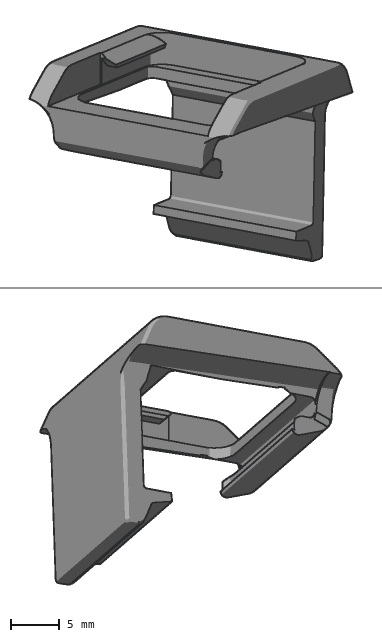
import cadquery as cq
import math


width = 25.05
half_width = width / 2
height = 22.25
depth = 23.79
past_part = 5.0
tolerance = 0.01

top_bend_radius = 2.5
back_corner_y = 21.67
back_bend_y = 23.82
back_bend_z = -5.1
back_bend_radius = 4.0
leg_tilt = math.radians(2.0)
leg_thickness = 2.17
leg_end_chamfer = 0.3
leg_root_z = -7.15
leg_bend_y = 20.95
leg_bend_z = -6.1
leg_top_y = 20.8
frame_bottom_z = -4.65
front_slope = math.radians(39.0)
front_corner_y = 3.83
front_bend_z = -front_corner_y * math.tan(front_slope)
front_bend_radius = 2.75
neck_thickness = 1.93
neck_inner_radius = 0.6

foot_tip_y = 18.0
foot_top_z = -18.1
foot_tip_thickness = 0.93
foot_tip_slant = 0.1
foot_top_radius = 0.35
foot_root_y = 20.28
foot_root_z = -19.6

hook_tip_y = 4.43
hook_top_z = -6.76
hook_corner_z = -7.6
hook_blend_z = -6.95
hook_blend_drop = 0.58
hook_slope = math.radians(20.2)
hook_front_radius = 1.9
hook_tip_top_radius = 1.3
hook_tip_bottom_radius = 0.65

notch_front_y = 5.33
notch_back_y = 6.55
notch_depth = 0.35
notch_flank = 0.3

leg_half_width = 8.8
neck_half_width = 9.3
undercut_radius = 3.25
neck_undercut_radius = half_width - neck_half_width
leg_undercut_z = -7.05
neck_undercut_z = -6.3
edge_radius = 0.5

floor_z = -3.4
recess_half_width = 9.72
recess_back_y = 19.9
recess_corner_radius = 2.2
front_slot_half_width = 9.89
front_slot_back_y = 9.82
window_half_width = 9.5
window_front_y = 3.49
window_back_y = 18.45
window_front_radius = 2.4
window_back_radius = 0.8

clip_tip_x = 8.38
clip_root_x = front_slot_half_width + 0.5
clip_edge_z = -1.2
clip_bottom_z = -1.62
clip_tip_bevel = 0.13
clip_end_z = -0.55


def rounded_outline(plane, corners):
    """Closed outline through (u, v, radius) corners, each rounded by a tangent arc."""
    bends = []
    count = len(corners)
    for i, (u, v, radius) in enumerate(corners):
        corner = cq.Vector(u, v)
        before = (cq.Vector(*corners[i - 1][:2]) - corner).normalized()
        after = (cq.Vector(*corners[(i + 1) % count][:2]) - corner).normalized()
        half_angle = before.getAngle(after) / 2
        tangent = radius / math.tan(half_angle)
        bisector = (before + after).normalized()
        middle = corner + bisector * (radius / math.sin(half_angle) - radius)
        bends.append((radius, corner + before * tangent, middle, corner + after * tangent))
    outline = cq.Workplane(plane).moveTo(*bends[0][3].toTuple()[:2])
    for radius, start, middle, end in bends[1:] + bends[:1]:
        outline = outline.lineTo(*start.toTuple()[:2])
        if radius > 0:
            outline = outline.threePointArc(middle.toTuple()[:2], end.toTuple()[:2])
    return outline.wire()


def leg_outer_y(z):
    """Y of the outer face of the leg at height z."""
    return back_bend_y + (z - back_bend_z) * math.tan(leg_tilt)


def side_profile():
    """Frame, leg with foot, and hook in the YZ plane, with the top and its corners still square."""
    def leg_inner_y(z):
        return leg_outer_y(z) - leg_thickness

    leg_end_z = -height - edge_radius * math.tan(leg_tilt)
    leg_end_inner_z = leg_end_z + leg_thickness * math.tan(leg_tilt)
    hook_end_z = hook_corner_z - hook_tip_y * math.tan(hook_slope)
    return rounded_outline("YZ", [
        (0, 0, 0),
        (leg_outer_y(0), 0, 0),
        (leg_outer_y(leg_end_z), leg_end_z, edge_radius),
        (leg_inner_y(leg_end_z) + 2 * leg_end_chamfer, leg_end_inner_z, 0),
        (leg_inner_y(leg_end_z) + leg_end_chamfer / 2, leg_end_inner_z + leg_end_chamfer, 0),
        (foot_root_y, foot_root_z, edge_radius),
        (foot_tip_y, foot_top_z - foot_tip_thickness, 0),
        (foot_tip_y + foot_tip_slant, foot_top_z, 0),
        (leg_inner_y(foot_top_z), foot_top_z, foot_top_radius),
        (leg_inner_y(leg_root_z), leg_root_z, 0),
        (leg_bend_y, leg_bend_z, edge_radius),
        (leg_top_y, frame_bottom_z, 0),
        (notch_back_y, frame_bottom_z, 0),
        (notch_back_y - notch_flank, frame_bottom_z + notch_depth, 0),
        (notch_front_y + notch_flank, frame_bottom_z + notch_depth, 0),
        (notch_front_y, frame_bottom_z, 0),
        (neck_thickness, frame_bottom_z, neck_inner_radius),
        (neck_thickness, hook_top_z, neck_inner_radius),
        (hook_tip_y, hook_top_z, hook_tip_top_radius),
        (hook_tip_y, hook_end_z, hook_tip_bottom_radius),
        (0, hook_corner_z, hook_front_radius),
    ])


def undercut_outline(workplane, half, radius, end_z):
    """Area outside a concave quarter arc that narrows the +X side down to `half`."""
    diagonal = radius * math.sqrt(0.5)
    center_x = half + radius
    return (workplane.moveTo(half, end_z - height)
            .lineTo(half, end_z)
            .threePointArc((center_x - diagonal, end_z + diagonal), (center_x, end_z + radius))
            .lineTo(half_width + past_part, end_z + radius)
            .lineTo(half_width + past_part, end_z - height)
            .close())


def rear_undercut():
    """Undercut of the rails and the leg, sloping down towards the back with the leg tilt."""
    plane = cq.Plane(origin=(0, depth, 0), xDir=(1, 0, 0),
                     normal=(0, -math.cos(leg_tilt), math.sin(leg_tilt)))
    cutter = undercut_outline(cq.Workplane(plane), leg_half_width, undercut_radius, leg_undercut_z)
    behind_neck = (cq.Workplane("XY", origin=(0, neck_thickness, 0))
                   .box(2 * width, 2 * depth, 4 * height, centered=(True, False, True)))
    return cutter.extrude(depth, both=True).intersect(behind_neck)


def front_undercut():
    """Undercut of the neck that joins the hook to the front of the frame."""
    plane = cq.Workplane("XZ", origin=(0, neck_thickness, 0))
    cutter = undercut_outline(plane, neck_half_width, neck_undercut_radius, neck_undercut_z)
    return cutter.extrude(neck_thickness + past_part)


def hook_side_cut():
    """Wedge that narrows the hook from the neck width to the leg width."""
    plane = cq.Plane(origin=(0, 0, hook_blend_z), xDir=(1, 0, 0),
                     normal=(0, -math.cos(hook_slope), -math.sin(hook_slope)))
    return (cq.Workplane(plane)
            .moveTo(neck_half_width, 0)
            .lineTo(leg_half_width, -hook_blend_drop)
            .lineTo(leg_half_width, -2 * hook_tip_y)
            .lineTo(half_width, -2 * hook_tip_y)
            .lineTo(half_width, 0)
            .close().extrude(2 * hook_tip_y, both=True)
            .intersect(cq.Workplane("XY").box(width, 3 * hook_tip_y, 2 * height)))


def recess():
    """Pocket from the top down to the floor, open to the front through a slightly wider slot."""
    length = recess_back_y - front_slot_back_y
    pocket = (cq.Workplane("XY", origin=(0, recess_back_y - length / 2, floor_z))
              .rect(2 * recess_half_width, length).extrude(past_part)
              .edges("|Z and >Y").fillet(recess_corner_radius))
    slot = (cq.Workplane("XY", origin=(0, 0, floor_z))
            .rect(2 * front_slot_half_width, 2 * front_slot_back_y).extrude(past_part))
    return pocket.union(slot)


def window():
    """Opening through the floor of the recess."""
    length = window_back_y - window_front_y
    return (cq.Workplane("XY", origin=(0, (window_back_y + window_front_y) / 2, floor_z - past_part))
            .rect(2 * window_half_width, length).extrude(2 * past_part)
            .edges("|Z and <Y").fillet(window_front_radius)
            .edges("|Z and >Y").fillet(window_back_radius))


def clip():
    """Retaining clip on the +X wall of the recess, its front end undercut at 45 degrees."""
    bar = (cq.Workplane("XZ", origin=(0, front_slot_back_y, 0))
           .moveTo(recess_half_width, 0)
           .lineTo(clip_tip_x, clip_edge_z)
           .lineTo(clip_tip_x + clip_tip_bevel, clip_bottom_z)
           .lineTo(clip_root_x, clip_bottom_z)
           .lineTo(clip_root_x, 0)
           .close().extrude(front_slot_back_y - recess_back_y))
    end_setback = clip_end_z - clip_bottom_z
    end_undercut = (cq.Workplane("YZ")
                    .moveTo(front_slot_back_y, clip_end_z)
                    .lineTo(front_slot_back_y, clip_bottom_z)
                    .lineTo(front_slot_back_y + end_setback, clip_bottom_z)
                    .close().extrude(front_slot_half_width))
    return bar.cut(end_undercut)


def both_sides(part):
    return part.union(part.mirror("YZ"))


def fillet_where(part, radius, is_wanted):
    """Fillet every edge whose midpoint (|x|, y, z) passes the test."""
    wanted = []
    for edge in part.edges().vals():
        middle = edge.positionAt(0.5)
        if is_wanted(abs(middle.x), middle.y, middle.z):
            wanted.append(edge)
    return part.newObject(wanted).fillet(radius)


def on_rear_edges(x, y, z):
    """Outer edges of the rear undercut, the leg sides and the leg end."""
    on_undercut = leg_half_width - tolerance < x < half_width - tolerance
    on_outer_face = y > leg_outer_y(z) - leg_thickness / 4
    on_leg_end = z < edge_radius - height
    return on_undercut and (on_outer_face or on_leg_end)


def on_neck_edges(x, y, z):
    """Front edges of the neck, from the frame corner down to the hook underside."""
    return neck_half_width - tolerance < x < half_width - tolerance and y < neck_thickness / 2


def rounded_envelope():
    """Outer skin of the part, running straight down, with its side edges rounded."""
    end_z = -2 * height
    skin = rounded_outline("YZ", [
        (front_corner_y, 0, top_bend_radius),
        (back_corner_y, 0, top_bend_radius),
        (back_bend_y, back_bend_z, back_bend_radius),
        (leg_outer_y(end_z), end_z, 0),
        (0, end_z, 0),
        (0, front_bend_z, front_bend_radius),
    ]).extrude(half_width, both=True)
    return fillet_where(skin, edge_radius, lambda x, y, z: x > half_width - tolerance and z > end_z)


body = side_profile().extrude(half_width, both=True)
body = body.cut(both_sides(rear_undercut()))
body = fillet_where(body, edge_radius, on_rear_edges)
body = body.cut(both_sides(front_undercut()))
body = fillet_where(body, edge_radius, on_neck_edges)
body = body.cut(both_sides(hook_side_cut()))
body = body.intersect(rounded_envelope())
body = body.cut(recess()).cut(window())
body = body.union(both_sides(clip()))
result = body